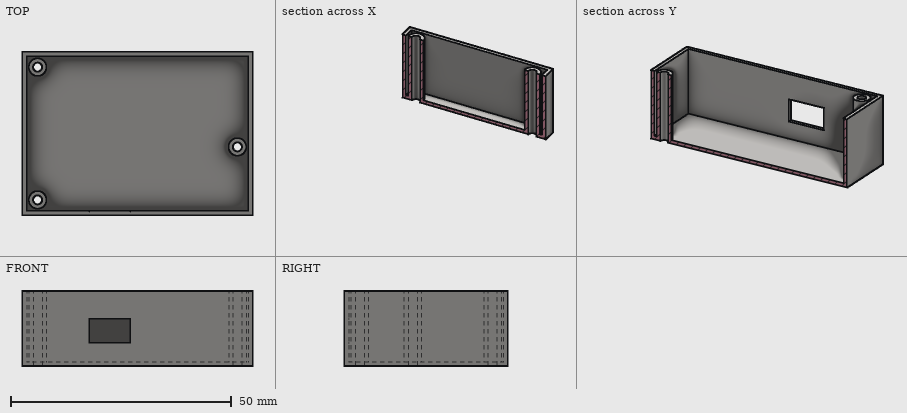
import cadquery as cq

LENGTH = 52.24
WIDTH = 37.05
HEIGHT = 17.0
WALL = 1.0
FLOOR = 1.0

POST_DIAMETER = 4.0
BORE_DIAMETER = 2.0
POST_TOP = HEIGHT
POST_INSET = 3.5
SINGLE_POST_Y = 15.5
POST_CENTRES = [
    (POST_INSET, POST_INSET),
    (POST_INSET, WIDTH - POST_INSET),
    (LENGTH - POST_INSET, SINGLE_POST_Y),
]

WINDOW_LENGTH = 9.3
WINDOW_HEIGHT = 5.5
WINDOW_LEFT = 15.2
WINDOW_BOTTOM = 5.25


def corner_box(length, width, height, corner):
    """Box whose lower front-left corner lies at the given point."""
    return cq.Workplane("XY").box(length, width, height, centered=False).translate(corner)


def make_tray():
    outer = corner_box(LENGTH, WIDTH, HEIGHT, (0, 0, 0))
    cavity = corner_box(
        LENGTH - 2 * WALL,
        WIDTH - 2 * WALL,
        HEIGHT - FLOOR,
        (WALL, WALL, FLOOR),
    )
    return outer.cut(cavity)


def post_cylinders(diameter, height):
    """One upright cylinder at every post position, starting at the underside."""
    return cq.Workplane("XY").pushPoints(POST_CENTRES).circle(diameter / 2).extrude(height)


def make_window():
    return corner_box(WINDOW_LENGTH, WALL, WINDOW_HEIGHT, (WINDOW_LEFT, 0, WINDOW_BOTTOM))


result = (
    make_tray()
    .union(post_cylinders(POST_DIAMETER, POST_TOP))
    .cut(post_cylinders(BORE_DIAMETER, POST_TOP))
    .cut(make_window())
)